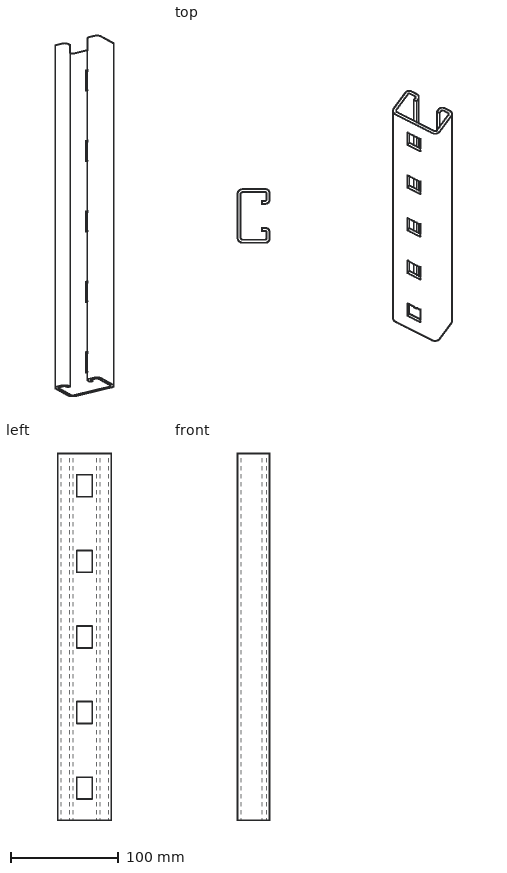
import cadquery as cq

depth = 30.0
width = 50.0
length = 340.0

thickness = 3.0
back_outer_radius = 5.0
back_inner_radius = back_outer_radius - thickness
front_outer_radius = 4.0
front_inner_radius = front_outer_radius - thickness
flange_width = 14.0
lip_length = 7.0

slot_width = 14.0
slot_height = 20.0
slot_pitch = 70.0
slot_count = 5


def bar(x_min, x_max, y_min, y_max):
    """Full-length rectangular bar between the given X and Y limits."""
    return cq.Workplane("XY").box(
        x_max - x_min, y_max - y_min, length, centered=False
    ).translate((x_min, y_min, 0))


def rolled_flange():
    """Hooked front edge on the +Y side: outer hook less its inner recess."""
    mouth_y = width / 2 - flange_width
    lip_x = depth - lip_length
    recess_side = width / 2 - thickness
    recess_front = depth - thickness
    hook = bar(lip_x, depth, mouth_y, width / 2).edges("|Z and >X").fillet(front_outer_radius)
    recess = bar(0, recess_front, mouth_y + thickness, recess_side)
    return hook.cut(recess.edges("|Z and >X").fillet(front_inner_radius))


def back_channel():
    """U-shaped back wall and sides, ending where the hooked edges begin."""
    side_end = depth - lip_length
    outer = bar(0, side_end, -width / 2, width / 2).edges("|Z and <X").fillet(back_outer_radius)
    inner = bar(thickness, depth, thickness - width / 2, width / 2 - thickness)
    return outer.cut(inner.edges("|Z and <X").fillet(back_inner_radius))


def back_slots():
    """Slots spaced evenly about the middle of the length."""
    return (
        cq.Workplane("YZ", origin=(0, 0, length / 2))
        .rarray(3.5, slot_pitch, 1, slot_count)
        .rect(slot_width, slot_height)
        .extrude(thickness)
    )


flange = rolled_flange()
channel = back_channel().union(flange).union(flange.mirror("XZ")).clean()
result = channel.cut(back_slots())